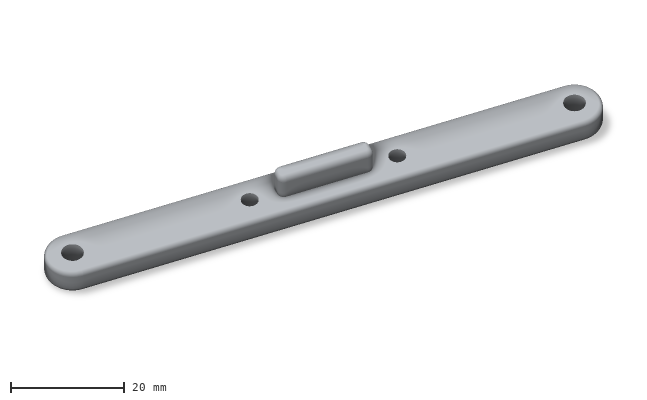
import cadquery as cq

total_height = 10.0

bar_length = 105.2
bar_width = 10.0
bar_height = total_height / 2
bar_edge_fillet = 1.0

tab_length = 18.0
tab_width = 3.5
tab_height = total_height - bar_height
tab_fillet = 1.3

end_hole_diameter = 4.0
end_hole_spacing = bar_length - bar_width
inner_hole_diameter = 3.2
inner_hole_spacing = 28.0


def make_bar():
    """Slot-shaped bar with its upper and lower rims rounded."""
    bar = cq.Workplane("XY").slot2D(bar_length, bar_width, 90).extrude(bar_height)
    return bar.faces("<Z or >Z").edges().fillet(bar_edge_fillet)


def make_tab():
    """Rectangular tab with rounded upright corners and top rim."""
    tab = (
        cq.Workplane("XY")
        .workplane(offset=bar_height)
        .rect(tab_width, tab_length)
        .extrude(tab_height)
    )
    return tab.edges("|Z").fillet(tab_fillet).faces(">Z").edges().fillet(tab_fillet)


def drill_pair(body, diameter, spacing):
    """Cut two through holes placed symmetrically along the bar."""
    drills = (
        cq.Workplane("XY")
        .pushPoints([(0, -spacing / 2), (0, spacing / 2)])
        .circle(diameter / 2)
        .extrude(bar_height)
    )
    return body.cut(drills)


result = make_bar().union(make_tab())
result = drill_pair(result, end_hole_diameter, end_hole_spacing)
result = drill_pair(result, inner_hole_diameter, inner_hole_spacing)